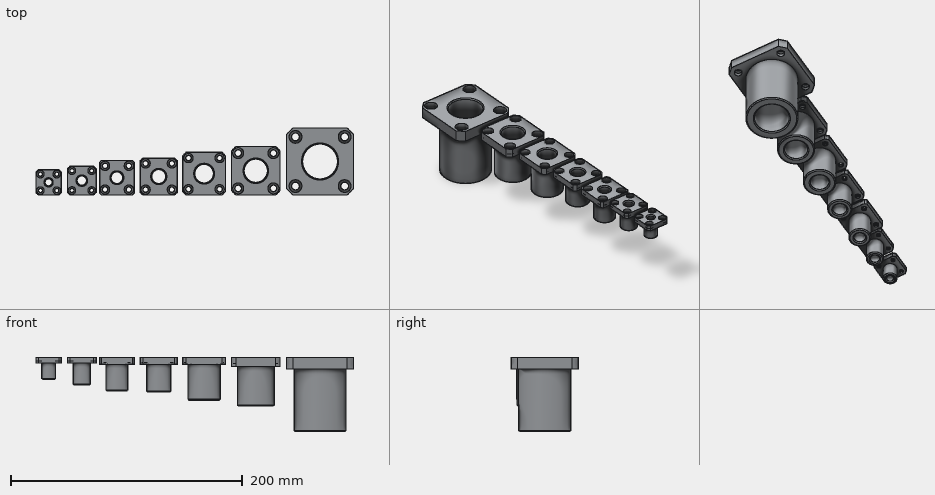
import cadquery as cq
import math


END_CHAMFER = 1.0

M3_BOLT = dict(bolt_hole=3.4, counterbore=6.5, counterbore_depth=3.3)
M4_BOLT = dict(bolt_hole=4.5, counterbore=8.0, counterbore_depth=4.4)
M5_BOLT = dict(bolt_hole=5.5, counterbore=9.5, counterbore_depth=5.4)
M6_BOLT = dict(bolt_hole=6.6, counterbore=11.0, counterbore_depth=6.5)

BUSHINGS = [
    dict(left_x=0.0, bore=6, sleeve=12, length=19, width=22, corners=28, thickness=5,
         bolt_circle=20, **M3_BOLT),
    dict(left_x=27.17, bore=8, sleeve=15, length=24, width=25, corners=32, thickness=5,
         bolt_circle=24, **M3_BOLT),
    dict(left_x=55.0, bore=10, sleeve=19, length=29, width=30, corners=40, thickness=6,
         bolt_circle=29, **M4_BOLT),
    dict(left_x=90.08, bore=12, sleeve=21, length=30, width=32, corners=42, thickness=6,
         bolt_circle=32, **M4_BOLT),
    dict(left_x=126.73, bore=16, sleeve=28, length=37, width=37, corners=48, thickness=6,
         bolt_circle=38, **M4_BOLT),
    dict(left_x=168.85, bore=20, sleeve=32, length=42, width=42, corners=54, thickness=8,
         bolt_circle=43, **M5_BOLT),
    dict(left_x=216.34, bore=30, sleeve=45, length=64, width=58, corners=74, thickness=10,
         bolt_circle=60, **M6_BOLT),
]


def flange_plate(width, corners, thickness):
    """Square plate below Z = 0 with its four upright edges cut to flats."""
    corner_chamfer = width - corners / math.sqrt(2)
    plate = cq.Workplane("XY").rect(width, width).extrude(-thickness)
    return plate.edges("|Z").chamfer(corner_chamfer)


def sleeve_cylinder(diameter, length):
    """Round sleeve below Z = 0, chamfered round its lower end."""
    sleeve = cq.Workplane("XY").circle(diameter / 2).extrude(-length)
    return sleeve.faces("<Z").chamfer(END_CHAMFER)


def bore_cutter(bore, length):
    """Cutter for a through bore that widens conically at both mouths."""
    bore_radius = bore / 2
    mouth_radius = bore_radius + END_CHAMFER
    half_profile = [
        (0, 0),
        (mouth_radius, 0),
        (bore_radius, -END_CHAMFER),
        (bore_radius, END_CHAMFER - length),
        (mouth_radius, -length),
        (0, -length),
    ]
    return cq.Workplane("XZ").polyline(half_profile).close().revolve(360, (0, 0), (0, 1))


def make_bushing(left_x, bore, sleeve, length, width, corners, thickness,
                 bolt_circle, bolt_hole, counterbore, counterbore_depth):
    """One flanged bushing with its left and front flange faces at X = left_x and Y = 0."""
    body = flange_plate(width, corners, thickness)
    body = body.union(sleeve_cylinder(sleeve, length))
    body = body.cut(bore_cutter(bore, length))

    bolt_spacing = bolt_circle / math.sqrt(2)
    body = (
        body.faces(">Z")
        .workplane(origin=(0, 0, 0))
        .rect(bolt_spacing, bolt_spacing, forConstruction=True)
        .vertices()
        .cboreHole(bolt_hole, counterbore, counterbore_depth, depth=thickness)
    )
    return body.translate((left_x + width / 2, width / 2, 0))


bushings = [make_bushing(**sizes) for sizes in BUSHINGS]

result = cq.Compound.makeCompound([bushing.val() for bushing in bushings])